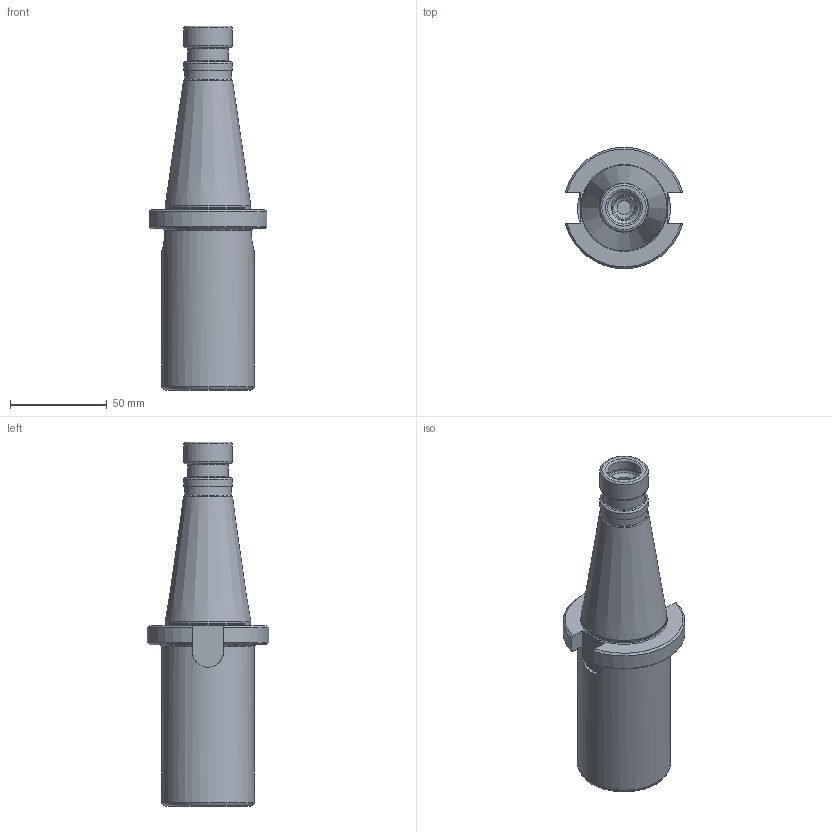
import cadquery as cq
import math

TOTAL_LENGTH = 188.4
SHANK_LENGTH = 93.4
FLANGE_GAP = 1.6
FLANGE_THICKNESS = 10.0

GAUGE_RADIUS = 44.45 / 2
TAPER_SLOPE = 7 / 48
TAPER_BASE = 0.6
TAPER_TIP = 65.4
TAPER_TIP_CHAMFER = 0.5

NECK_RADIUS = 22.0
NECK_UNDERCUT = 0.9
CORNER_FILLET = 0.5

FLANGE_RADIUS = 63.0 / 2
FLANGE_CHAMFER = 1.0
BODY_RADIUS = 24.0
BODY_FILLET = 2.0
BODY_CORNER_FILLET = 0.8

HEAD_RADIUS = 12.5
HEAD_FILLET = 1.0
HEAD_LENGTH = 11.3
GROOVE_RADIUS = 10.5
GROOVE_END = 18.4
COLLAR_END = 23.0
RELIEF_RADIUS = 12.0

SLOT_WIDTH = 16.1
SLOT_FLOOR = 22.5
SLOT_DEPTH = 21.6

BORE_RADIUS = 8.5
MOUTH_FILLET = 1.0
BORE_DEPTH = 5.6
UNDERCUT_RADIUS = 9.0
UNDERCUT_TOP = 6.0
UNDERCUT_BOTTOM = 7.0
CONE_TOP = 8.0
CORE_RADIUS = 6.6
CORE_TOP = 9.7
CORE_BOTTOM = 30.0
SEAT_RADIUS = 6.1
WAIST_RADIUS = 5.3
WAIST_DEPTH = 32.0
DISC_RADIUS = 3.6
DISC_DEPTH = 33.2

FLANGE_TOP = -FLANGE_GAP
FLANGE_BOTTOM = FLANGE_TOP - FLANGE_THICKNESS
BODY_BOTTOM = SHANK_LENGTH - TOTAL_LENGTH

INWARD = (-1, 0)
OUTWARD = (1, 0)
UP = (0, 1)
DOWN = (0, -1)


def taper_radius(z):
    """Radius of the steep taper at height z."""
    return GAUGE_RADIUS - TAPER_SLOPE * z


def rounded_corner(profile, corner, radius, toward_start, toward_end):
    """Draw up to a square corner and round it; the toward vectors point along its two sides."""
    corner = cq.Vector(*corner)
    start_offset = cq.Vector(*toward_start) * radius
    end_offset = cq.Vector(*toward_end) * radius
    middle = corner + (start_offset + end_offset) * (1 - math.sqrt(0.5))
    start = corner + start_offset
    end = corner + end_offset
    return profile.lineTo(start.x, start.y).threePointArc((middle.x, middle.y), (end.x, end.y))


def revolve(profile):
    """Close a (radius, z) profile and turn it about Z."""
    return profile.close().revolve(360, (0, 0), (0, 1))


def make_body_and_flange():
    """Plain body with a rounded bottom edge, carrying the chamfered flange."""
    chamfered_radius = FLANGE_RADIUS - FLANGE_CHAMFER
    profile = cq.Workplane("XZ").moveTo(0, BODY_BOTTOM)
    profile = rounded_corner(profile, (BODY_RADIUS, BODY_BOTTOM), BODY_FILLET, INWARD, UP)
    profile = rounded_corner(profile, (BODY_RADIUS, FLANGE_BOTTOM), BODY_CORNER_FILLET, DOWN, OUTWARD)
    profile = (
        profile.lineTo(chamfered_radius, FLANGE_BOTTOM)
        .lineTo(FLANGE_RADIUS, FLANGE_BOTTOM + FLANGE_CHAMFER)
        .lineTo(FLANGE_RADIUS, FLANGE_TOP - FLANGE_CHAMFER)
        .lineTo(chamfered_radius, FLANGE_TOP)
        .lineTo(0, FLANGE_TOP)
    )
    return revolve(profile)


def make_shank():
    """Neck, steep taper, collar, groove and head, from the flange face to the tip."""
    head_bottom = SHANK_LENGTH - HEAD_LENGTH
    collar_top = SHANK_LENGTH - GROOVE_END
    collar_bottom = SHANK_LENGTH - COLLAR_END
    tip_radius = taper_radius(TAPER_TIP)
    relief_bottom = TAPER_TIP + TAPER_TIP_CHAMFER

    profile = cq.Workplane("XZ").moveTo(0, FLANGE_TOP)
    profile = rounded_corner(profile, (NECK_RADIUS, FLANGE_TOP), CORNER_FILLET, OUTWARD, UP)
    profile = (
        profile.lineTo(NECK_RADIUS, TAPER_BASE - NECK_UNDERCUT)
        .lineTo(taper_radius(TAPER_BASE), TAPER_BASE)
        .lineTo(tip_radius, TAPER_TIP)
        .lineTo(tip_radius - TAPER_TIP_CHAMFER, relief_bottom)
        .lineTo(RELIEF_RADIUS, relief_bottom)
        .lineTo(RELIEF_RADIUS, collar_bottom)
        .lineTo(HEAD_RADIUS, collar_bottom)
    )
    profile = rounded_corner(profile, (HEAD_RADIUS, collar_top), HEAD_FILLET, DOWN, INWARD)
    profile = rounded_corner(profile, (GROOVE_RADIUS, collar_top), CORNER_FILLET, OUTWARD, UP)
    profile = rounded_corner(profile, (GROOVE_RADIUS, head_bottom), CORNER_FILLET, DOWN, OUTWARD)
    profile = rounded_corner(profile, (HEAD_RADIUS, head_bottom), HEAD_FILLET, INWARD, UP)
    profile = rounded_corner(profile, (HEAD_RADIUS, SHANK_LENGTH), HEAD_FILLET, DOWN, INWARD)
    return revolve(profile.lineTo(0, SHANK_LENGTH))


def make_bore():
    """Cutter for the centre bore: rounded mouth, undercut cylinder, core and a conical bottom."""
    steps = [
        (BORE_RADIUS, BORE_DEPTH),
        (UNDERCUT_RADIUS, UNDERCUT_TOP),
        (UNDERCUT_RADIUS, UNDERCUT_BOTTOM),
        (BORE_RADIUS, CONE_TOP),
        (CORE_RADIUS, CORE_TOP),
        (CORE_RADIUS, CORE_BOTTOM),
        (SEAT_RADIUS, CORE_BOTTOM),
        (WAIST_RADIUS, WAIST_DEPTH),
        (DISC_RADIUS, DISC_DEPTH),
        (0, DISC_DEPTH),
    ]
    profile = cq.Workplane("XZ").moveTo(0, SHANK_LENGTH)
    profile = rounded_corner(profile, (BORE_RADIUS, SHANK_LENGTH), MOUTH_FILLET, OUTWARD, DOWN)
    for radius, depth in steps:
        profile = profile.lineTo(radius, SHANK_LENGTH - depth)
    return revolve(profile)


def make_drive_slot(side):
    """Round-ended slot cutter on the +X (side = 1) or -X (side = -1) side."""
    half_width = SLOT_WIDTH / 2
    arc_centre = FLANGE_TOP - SLOT_DEPTH + half_width
    profile = (
        cq.Workplane("YZ")
        .workplane(offset=side * SLOT_FLOOR)
        .moveTo(-half_width, FLANGE_TOP)
        .lineTo(-half_width, arc_centre)
        .threePointArc((0, FLANGE_TOP - SLOT_DEPTH), (half_width, arc_centre))
        .lineTo(half_width, FLANGE_TOP)
        .close()
    )
    return profile.extrude(side * FLANGE_RADIUS)


result = make_body_and_flange().union(make_shank()).cut(make_bore())
for slot_side in (1, -1):
    result = result.cut(make_drive_slot(slot_side))